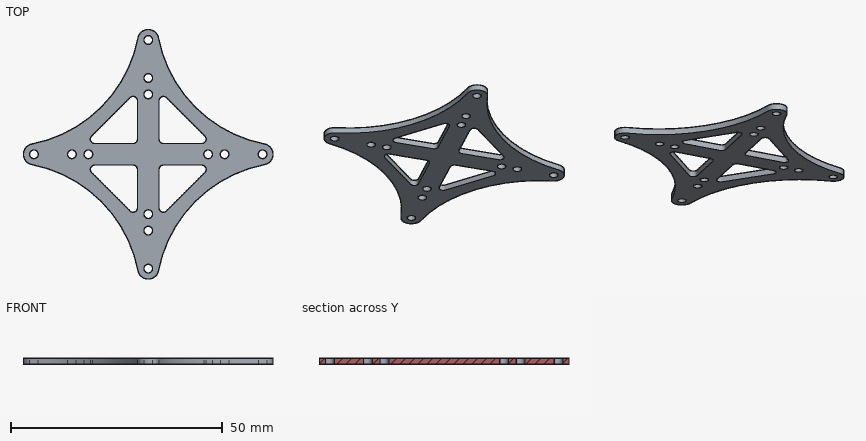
import cadquery as cq
import math

thickness = 1.5
tip_hole_distance = 27.0
tip_radius = 2.5
side_arc_center = 33.5

hole_diameter = 2.0
inner_pattern_pitch = 20.0
outer_pattern_pitch = 25.5
hole_distances = (
    inner_pattern_pitch / math.sqrt(2),
    outer_pattern_pitch / math.sqrt(2),
    tip_hole_distance,
)

cross_arm_width = 5.15
window_diagonal_intercept = 17.65
window_fillet = 1.0

quarter_turns = (0, 90, 180, 270)


def rotate_point(point, degrees):
    """Rotate a 2D point about the plate center."""
    angle = math.radians(degrees)
    x, y = point
    return (
        x * math.cos(angle) - y * math.sin(angle),
        x * math.sin(angle) + y * math.cos(angle),
    )


def make_plate():
    """Four-pointed plate: rounded tips joined by tangent concave arcs."""
    tip_to_arc_center_y = side_arc_center - tip_hole_distance
    center_distance = math.hypot(side_arc_center, tip_to_arc_center_y)
    side_arc_radius = center_distance - tip_radius

    tangent_x = tip_hole_distance + tip_radius * tip_to_arc_center_y / center_distance
    tangent_y = tip_radius * side_arc_center / center_distance
    tip_start = (tangent_x, -tangent_y)
    tip_apex = (tip_hole_distance + tip_radius, 0)
    tip_end = (tangent_x, tangent_y)
    waist = side_arc_center - side_arc_radius / math.sqrt(2)
    side_middle = (waist, waist)

    outline = cq.Workplane("XY").moveTo(*tip_start)
    for turn in quarter_turns:
        outline = outline.threePointArc(rotate_point(tip_apex, turn), rotate_point(tip_end, turn))
        next_tip_start = rotate_point(tip_start, turn + 90)
        outline = outline.threePointArc(rotate_point(side_middle, turn), next_tip_start)
    return outline.close().extrude(thickness)


def make_holes():
    """Through holes, three along each arm."""
    points = [
        rotate_point((distance, 0), turn)
        for turn in quarter_turns
        for distance in hole_distances
    ]
    return cq.Workplane("XY").pushPoints(points).circle(hole_diameter / 2).extrude(thickness)


def make_window():
    """Rounded right-triangle cutter in the +X +Y quadrant."""
    near = cross_arm_width / 2
    far = window_diagonal_intercept - near
    triangle = cq.Workplane("XY").polyline([(near, near), (far, near), (near, far)]).close()
    return triangle.extrude(thickness).edges("|Z").fillet(window_fillet)


result = make_plate().cut(make_holes())
window_cutter = make_window()
for turn in quarter_turns:
    result = result.cut(window_cutter.rotate((0, 0, 0), (0, 0, 1), turn))